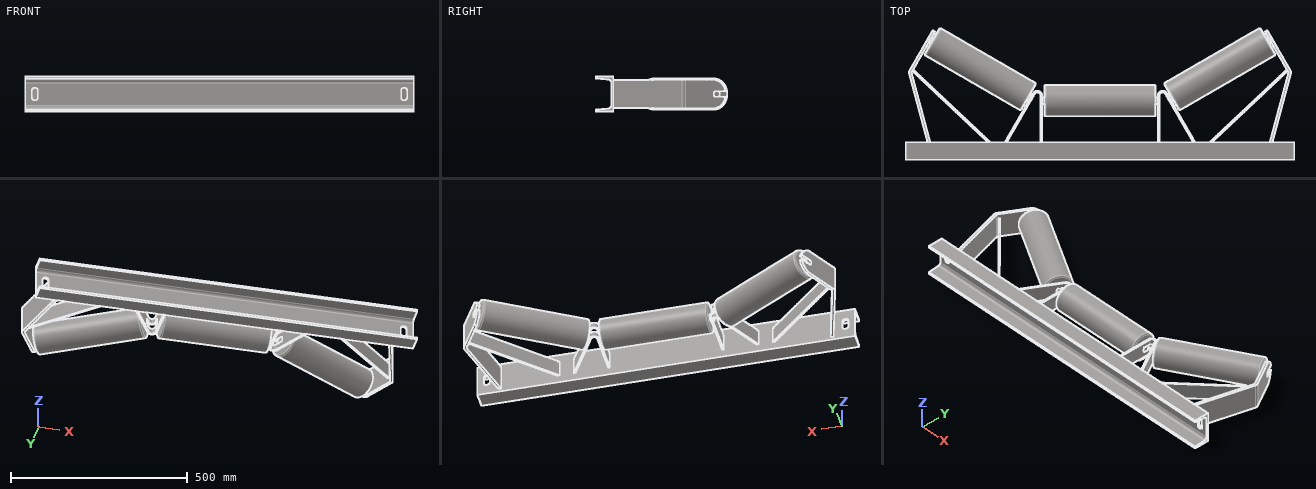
import cadquery as cq
import math


trough_angle = 30.0

beam_length = 1100.0
beam_height = 100.0
flange_width = 50.0
web_thickness = 6.0
flange_tip_thickness = 6.2
flange_root_thickness = 10.0
channel_root_radius = 8.5
mount_slot_inset = 28.0
mount_slot_length = 36.0
mount_slot_width = 17.0

roller_diameter = 88.9
roller_length = 315.0
roller_edge_radius = 4.0
axle_diameter = 20.0
axle_flat_width = 16.0
support_gap = 327.0
middle_roller_height = 117.5
wing_roller_x = 338.6
wing_roller_height = 206.66

outer_plate = 8.0
outer_width = 80.0
outer_lean = 15.0
outer_bend_inner_radius = 5.0
outer_foot_x = 484.0
outer_tip_reach = 29.0

inner_plate = 5.0
inner_width = 50.0
inner_bend_radius = 11.2

brace_plate = 5.0
brace_width = 50.0
brace_foot_x = 313.6
brace_rise_angle = 43.3
brace_untrimmed_length = 299.0

tilt = math.radians(trough_angle)
lean = math.radians(outer_lean)
half_gap = support_gap / 2
middle_axis = cq.Vector(-1, 0, 0)
wing_axis = cq.Vector(-math.cos(tilt), math.sin(tilt), 0)
wing_plate_up = cq.Vector(math.sin(tilt), math.cos(tilt), 0)
middle_centre = cq.Vector(0, middle_roller_height, 0)
wing_centre = cq.Vector(-wing_roller_x, wing_roller_height, 0)
oversize = 2 * beam_length


def xy(point):
    return (point.x, point.y)


def line_crossing(start, direction, other_start, other_direction):
    """Point where two lines in the X-Y plane cross."""
    between = other_start - start
    distance = between.cross(other_direction).z / direction.cross(other_direction).z
    return start + direction * distance


def axle_frame(centre, axis, offset=0):
    """Workplane square to an axle: local x is Z, local y points up along the supporting plates."""
    return cq.Workplane(cq.Plane(centre + axis * offset, xDir=(0, 0, 1), normal=axis))


def plate_from_outline(points, width):
    """Plate with a straight-sided X-Y outline, centred on Z = 0."""
    return cq.Workplane("XY").polyline([xy(p) for p in points]).close().extrude(width / 2, both=True)


def make_beam():
    half = beam_height / 2
    root = half - flange_root_thickness
    tip = half - flange_tip_thickness
    beam = (
        cq.Workplane("YZ")
        .polyline([
            (0, -half),
            (-flange_width, -half),
            (-flange_width, -tip),
            (-web_thickness, -root),
            (-web_thickness, root),
            (-flange_width, tip),
            (-flange_width, half),
            (0, half),
        ])
        .close()
        .extrude(beam_length / 2, both=True)
    )
    for side in (-1, 1):
        root_corner = cq.selectors.NearestToPointSelector((0, -web_thickness, side * root))
        beam = beam.edges("|X").edges(root_corner).fillet(channel_root_radius)
    slot_x = beam_length / 2 - mount_slot_inset
    slots = (
        cq.Workplane("XZ")
        .pushPoints([(-slot_x, 0), (slot_x, 0)])
        .slot2D(mount_slot_length, mount_slot_width, 90)
        .extrude(2 * web_thickness)
        .translate((0, web_thickness / 2, 0))
    )
    return beam.cut(slots)


def axle_end(centre, axis, start, length):
    """Piece of axle with a flat on each side, from start to start + length along the axis."""
    end = axle_frame(centre, axis, start).circle(axle_diameter / 2).extrude(length)
    between_flats = axle_frame(centre, axis, start).rect(axle_flat_width, axle_diameter).extrude(length)
    return end.intersect(between_flats)


def make_roller(centre, axis, near_plate, far_plate):
    """Roller whose flattened axle ends fill the slots of plates of the given thicknesses."""
    shell = (
        axle_frame(centre, axis, -roller_length / 2)
        .circle(roller_diameter / 2)
        .extrude(roller_length)
        .edges()
        .fillet(roller_edge_radius)
    )
    axle = axle_frame(centre, axis, -half_gap).circle(axle_diameter / 2).extrude(support_gap)
    near_end = axle_end(centre, axis, -half_gap - near_plate, near_plate)
    far_end = axle_end(centre, axis, half_gap, far_plate)
    return shell.union(axle).union(near_end).union(far_end)


def axle_slot(centre, axis, start, plate, rise):
    """Cutter for the axle slot of one plate: a seat for the axle end, open upwards by rise."""
    opening = (
        axle_frame(centre, axis, start)
        .center(0, rise / 2)
        .rect(axle_flat_width, rise)
        .extrude(plate)
    )
    return axle_end(centre, axis, start, plate).union(opening)


def make_outer_bracket():
    leg_up = cq.Vector(-math.sin(lean), math.cos(lean), 0)
    foot_half_width = cq.Vector(outer_plate / 2 / math.cos(lean), 0, 0)
    foot = cq.Vector(-outer_foot_x, 0, 0)
    inner_foot = foot + foot_half_width
    outer_foot = foot - foot_half_width
    inner_tip = wing_centre + wing_axis * half_gap + wing_plate_up * outer_tip_reach
    outer_tip = inner_tip + wing_axis * outer_plate
    inner_corner = line_crossing(inner_foot, leg_up, inner_tip, wing_plate_up)
    outer_corner = line_crossing(outer_foot, leg_up, outer_tip, wing_plate_up)
    plate = plate_from_outline(
        [inner_foot, inner_corner, inner_tip, outer_tip, outer_corner, outer_foot],
        outer_width,
    )
    bend_radii = (
        (inner_corner, outer_bend_inner_radius),
        (outer_corner, outer_bend_inner_radius + outer_plate),
    )
    for corner, radius in bend_radii:
        bend_edge = cq.selectors.NearestToPointSelector(corner.toTuple())
        plate = plate.edges("|Z").edges(bend_edge).fillet(radius)

    shoulder = outer_width / 2
    head_envelope = (
        axle_frame(wing_centre, wing_axis)
        .moveTo(-shoulder, 0)
        .threePointArc((0, outer_tip_reach), (shoulder, 0))
        .lineTo(shoulder, -oversize)
        .lineTo(-shoulder, -oversize)
        .close()
        .extrude(oversize)
    )
    slot = axle_slot(wing_centre, wing_axis, half_gap, outer_plate, 2 * outer_tip_reach)
    return plate.intersect(head_envelope).cut(slot)


def make_inner_bracket():
    upright_side = middle_axis * (half_gap + inner_plate / 2 + inner_bend_radius)
    sloped_side = wing_centre - wing_axis * (half_gap + inner_plate / 2 + inner_bend_radius)
    bend_centre = line_crossing(upright_side, cq.Vector(0, 1, 0), sloped_side, wing_plate_up)

    def skin(radius):
        """Sloped foot, bend start, bend top, bend end and upright foot of one face of the plate."""
        bend_start = bend_centre + wing_axis * radius
        bend_top = bend_centre + cq.Vector(0, radius, 0)
        bend_end = bend_centre - middle_axis * radius
        sloped_foot = bend_start - wing_plate_up * (bend_start.y / wing_plate_up.y)
        upright_foot = cq.Vector(bend_end.x, 0, 0)
        return [xy(p) for p in (sloped_foot, bend_start, bend_top, bend_end, upright_foot)]

    outside = skin(inner_bend_radius + inner_plate / 2)
    inside = skin(inner_bend_radius - inner_plate / 2)
    plate = (
        cq.Workplane("XY")
        .moveTo(*outside[0])
        .lineTo(*outside[1])
        .threePointArc(outside[2], outside[3])
        .lineTo(*outside[4])
        .lineTo(*inside[4])
        .lineTo(*inside[3])
        .threePointArc(inside[2], inside[1])
        .lineTo(*inside[0])
        .close()
        .extrude(inner_width / 2, both=True)
    )

    slot_rise = 2 * inner_bend_radius
    middle_slot = axle_slot(middle_centre, middle_axis, half_gap, inner_plate, slot_rise)
    wing_slot = axle_slot(wing_centre, wing_axis, -half_gap - inner_plate, inner_plate, slot_rise)
    bend_slot = (
        cq.Workplane("XY")
        .box(oversize, oversize, axle_flat_width, centered=(True, False, True))
        .translate((0, bend_centre.y, 0))
    )
    return plate.cut(middle_slot).cut(wing_slot).cut(bend_slot)


def make_brace(outer_bracket):
    rise = math.radians(brace_rise_angle)
    along = cq.Vector(-math.cos(rise), math.sin(rise), 0)
    foot = cq.Vector(-brace_foot_x, 0, 0)
    foot_half_width = cq.Vector(brace_plate / 2 / math.sin(rise), 0, 0)
    top = foot + along * brace_untrimmed_length
    strip = plate_from_outline(
        [foot - foot_half_width, foot + foot_half_width, top + foot_half_width, top - foot_half_width],
        brace_width,
    )
    return strip.cut(outer_bracket)


beam = make_beam()
middle_roller = make_roller(middle_centre, middle_axis, inner_plate, inner_plate)
wing_roller = make_roller(wing_centre, wing_axis, inner_plate, outer_plate)
outer_bracket = make_outer_bracket()
inner_bracket = make_inner_bracket()
brace = make_brace(outer_bracket)

bodies = [*beam.solids().vals(), *middle_roller.solids().vals()]
for left_body in (wing_roller, outer_bracket, inner_bracket, brace):
    right_body = left_body.mirror("YZ")
    bodies += [*left_body.solids().vals(), *right_body.solids().vals()]

result = cq.Compound.makeCompound(bodies)